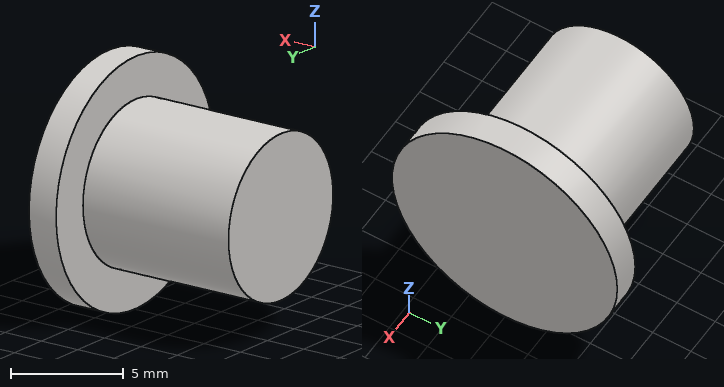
import cadquery as cq

flange_diameter = 11.8
flange_thickness = 1.5
shank_diameter = 7.8
shank_length = 8.0

total_length = shank_length + flange_thickness

shank_start_x = -total_length / 2
flange_start_x = shank_start_x + shank_length


def disc_along_x(start_x, diameter, length):
    """Solid cylinder on the X axis, growing toward +X from start_x."""
    return (
        cq.Workplane("YZ")
        .workplane(offset=start_x)
        .circle(diameter / 2)
        .extrude(length)
    )


shank = disc_along_x(shank_start_x, shank_diameter, shank_length)
flange = disc_along_x(flange_start_x, flange_diameter, flange_thickness)

result = shank.union(flange)